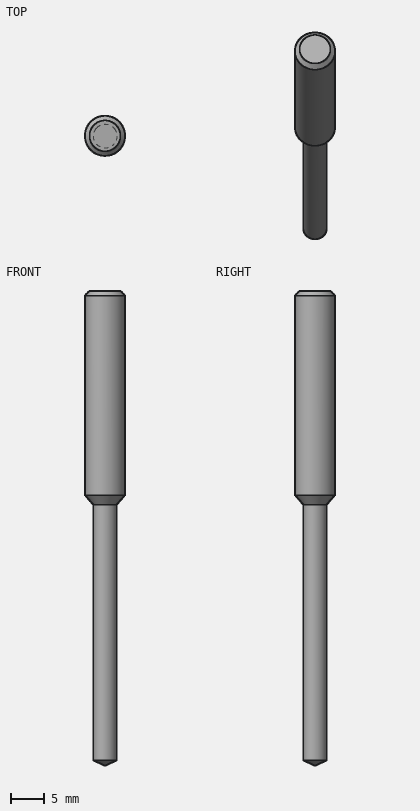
import cadquery as cq
import math

total_length = 71.0
shank_diameter = 6.0
cutter_diameter = 3.55

shank_length = 30.5
top_chamfer = 0.7
taper_height = 1.4

point_angle = 130.0

shank_radius = shank_diameter / 2
cutter_radius = cutter_diameter / 2
shank_bottom = total_length - shank_length
neck_level = shank_bottom - taper_height
point_height = cutter_radius / math.tan(math.radians(point_angle / 2))


def revolve_profile(points):
    """Revolve a closed outline of (radius, height) points around the Z axis."""
    return cq.Workplane("XZ").polyline(points).close().revolve(360, (0, 0, 0), (0, 1, 0))


def make_shank():
    """Clamping shank with a chamfered top, tapering down to the cutter diameter."""
    return revolve_profile([
        (0, neck_level),
        (cutter_radius, neck_level),
        (shank_radius, shank_bottom),
        (shank_radius, total_length - top_chamfer),
        (shank_radius - top_chamfer, total_length),
        (0, total_length),
    ])


def make_cutter():
    """Slim drill cylinder ending in a conical point, butted against the shank taper."""
    return revolve_profile([
        (0, 0),
        (cutter_radius, point_height),
        (cutter_radius, neck_level),
        (0, neck_level),
    ])


shank = make_shank()
cutter = make_cutter()

result = cq.Compound.makeCompound([shank.val(), cutter.val()])